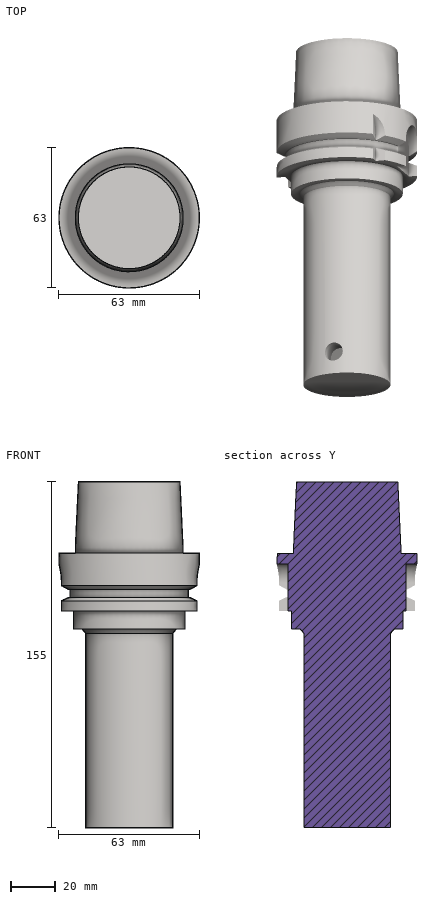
import cadquery as cq

total_length = 155.0
cone_length = 32.0
cone_relief_height = 1.9
flange_width = 26.0
flange_top = total_length - cone_length
flange_bottom = flange_top - flange_width
cone_base = flange_top + cone_relief_height
groove_top = 108.5
groove_floor_top = 106.6
groove_floor_bottom = 103.2
groove_bottom = 101.7
collar_bottom = 89.0
flare_height = 1.9

flange_radius = 63.0 / 2
groove_radius = 27.6
groove_shoulder_radius = 28.2
collar_radius = 50.0 / 2
shank_radius = 39.0 / 2
flare_width = 1.5
cone_base_radius = 48.4 / 2
cone_tip_radius = 22.8

keyway_width = 16.5
keyway_floor = 26.5
keyway_top = 118.0

notch_radius = 22.0 / 2
notch_center_y = 31.0
notch_center_z = 109.1
notch_floor = 20.0

hole_diameter = 8.4
hole_height = 10.0
hole_depth = 9.3


def turned_body():
    """Solid of revolution: shank, collar, grooved flange and taper."""
    profile = [
        (0, 0),
        (shank_radius, 0),
        (shank_radius, collar_bottom - flare_height),
        (shank_radius + flare_width, collar_bottom),
        (collar_radius, collar_bottom),
        (collar_radius, flange_bottom),
        (flange_radius, flange_bottom),
        (flange_radius, groove_bottom),
        (groove_shoulder_radius, groove_floor_bottom),
        (groove_radius, groove_floor_bottom),
        (groove_radius, groove_floor_top),
        (groove_shoulder_radius, groove_floor_top),
        (flange_radius, groove_top),
        (flange_radius, flange_top),
        (cone_base_radius, flange_top),
        (cone_base_radius, cone_base),
        (cone_tip_radius, total_length),
        (0, total_length),
    ]
    return cq.Workplane("XZ").polyline(profile).close().revolve(360, (0, 0, 0), (0, 1, 0))


def round_topped_cutter(center_y, center_z, radius, floor):
    """Slot open at the flange bottom, reaching from x = floor out past the rim on +X."""
    return (
        cq.Workplane("YZ", origin=(floor, 0, 0))
        .moveTo(center_y - radius, flange_bottom)
        .lineTo(center_y - radius, center_z)
        .threePointArc((center_y, center_z + radius), (center_y + radius, center_z))
        .lineTo(center_y + radius, flange_bottom)
        .close()
        .extrude(flange_radius)
    )


def keyways():
    radius = keyway_width / 2
    keyway = round_topped_cutter(0, keyway_top - radius, radius, keyway_floor)
    return keyway.union(keyway.mirror("YZ"))


def orientation_notch():
    notch = round_topped_cutter(notch_center_y, notch_center_z, notch_radius, notch_floor)
    return notch.mirror("YZ")


def shank_hole():
    hole_plane = cq.Plane(origin=(0, shank_radius, hole_height), xDir=(1, 0, 0), normal=(0, -1, 0))
    return cq.Workplane(hole_plane).circle(hole_diameter / 2).extrude(hole_depth)


result = turned_body().cut(keyways()).cut(orientation_notch()).cut(shank_hole())